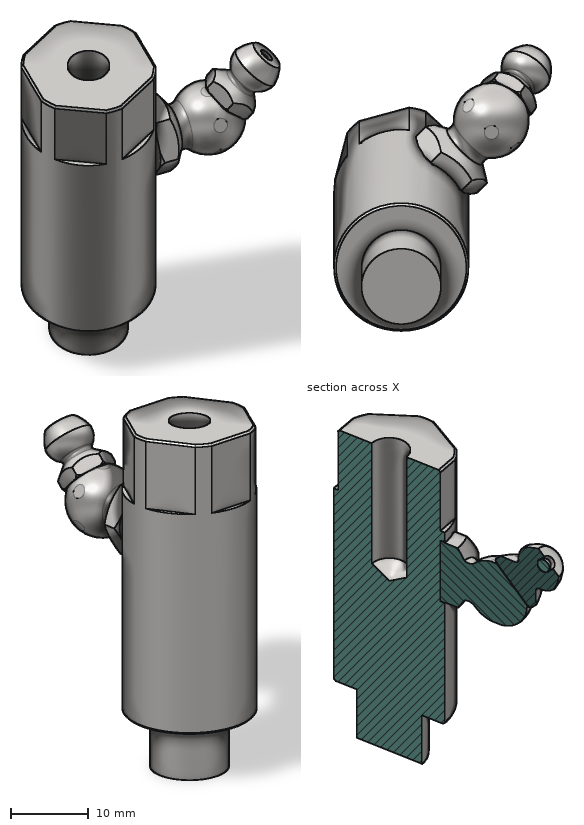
import cadquery as cq
import math

height = 47.6
body_radius = 17.3 / 2
stub_radius = 10.2 / 2
stub_length = 7.65
head_length = 9.52
head_across_flats = 15.95
edge_chamfer = 0.3
bore_diameter = 5.4
bore_depth = 19.05
drill_tip_angle = 118.0

elbow_y = 16.6
elbow_z = 31.7
elbow_across_flats = 9.5
flat_spot_diameter = 1.85
seat_y = head_across_flats / 2
seat_radius = 4.85
collar_start_y = 8.35
collar_cone_y = 10.2
neck_start_y = 11.7
neck_radius = 6.35 / 2
neck_waist_radius = 3.05
neck_end_y = 13.1
ball_radius = math.hypot(elbow_across_flats / 2, flat_spot_diameter / 2)

nipple_tilt = 45.0
nipple_across_flats = 6.75
nipple_base = 3.5
nipple_base_radius = 3.65
base_chamfer_top = 3.8
shoulder_cone_base = 4.9
neck_bottom = 6.4
neck_top = 7.15
nipple_neck_radius = 2.15
nipple_shoulder_radius = 2.35
head_radius = 3.35
head_curve_middle = (3.05, 8.0)
head_widest = 9.3
tip_curve_middle = (2.95, 10.45)
tip_height = 11.52
tip_radius = 2.25

check_ball_diameter = 1.85
check_ball_recess = 0.2


def across_corners(across_flats):
    return across_flats / math.cos(math.radians(30))


def at_nipple(body):
    """Move a body built upright on the origin onto the tilted nipple axis."""
    tilted = body.rotate((0, 0, 0), (1, 0, 0), -nipple_tilt)
    return tilted.translate((0, elbow_y, elbow_z))


def make_elbow():
    neck_end_radius = math.sqrt(ball_radius**2 - (elbow_y - neck_end_y)**2)
    neck_middle_y = (neck_start_y + neck_end_y) / 2
    corner_radius = across_corners(elbow_across_flats) / 2
    turned = (
        cq.Workplane("XY")
        .moveTo(0, seat_y)
        .lineTo(seat_radius, seat_y)
        .lineTo(corner_radius, collar_start_y)
        .lineTo(corner_radius, collar_cone_y)
        .lineTo(neck_radius, neck_start_y)
        .threePointArc((neck_waist_radius, neck_middle_y), (neck_end_radius, neck_end_y))
        .threePointArc((ball_radius, elbow_y), (0, elbow_y + ball_radius))
        .close()
        .revolve(360, (0, 0, 0), (0, 1, 0))
        .translate((0, 0, elbow_z))
    )
    bar = (
        cq.Workplane("XZ", origin=(0, 0, elbow_z))
        .polygon(6, across_corners(elbow_across_flats))
        .extrude(-(elbow_y + 2 * ball_radius))
    )
    seat_cutter = cq.Workplane("XY").workplane(offset=nipple_base).circle(ball_radius).extrude(ball_radius)
    return turned.intersect(bar).cut(at_nipple(seat_cutter))


def make_check_ball():
    radius = check_ball_diameter / 2
    ball = cq.Workplane("XY").sphere(radius).translate((0, 0, tip_height - check_ball_recess - radius))
    return at_nipple(ball)


def make_nipple():
    corner_radius = across_corners(nipple_across_flats) / 2
    neck_middle = (neck_bottom + neck_top) / 2
    turned = (
        cq.Workplane("XZ")
        .moveTo(0, nipple_base)
        .lineTo(nipple_base_radius, nipple_base)
        .lineTo(corner_radius, base_chamfer_top)
        .lineTo(corner_radius, shoulder_cone_base)
        .lineTo(nipple_shoulder_radius, neck_bottom)
        .threePointArc((nipple_neck_radius, neck_middle), (nipple_shoulder_radius, neck_top))
        .threePointArc(head_curve_middle, (head_radius, head_widest))
        .threePointArc(tip_curve_middle, (tip_radius, tip_height))
        .lineTo(0, tip_height)
        .close()
        .revolve(360, (0, 0, 0), (0, 1, 0))
    )
    bar = (
        cq.Workplane("XY")
        .polygon(6, across_corners(nipple_across_flats))
        .extrude(tip_height)
        .rotate((0, 0, 0), (0, 0, 1), 30)
    )
    ball_centre = tip_height - check_ball_recess - check_ball_diameter / 2
    hole = (
        cq.Workplane("XY")
        .workplane(offset=ball_centre)
        .circle(check_ball_diameter / 2)
        .extrude(tip_height - ball_centre)
    )
    return at_nipple(turned.intersect(bar).cut(hole)).cut(make_check_ball())


def make_bore_cutter():
    radius = bore_diameter / 2
    tip_depth = radius / math.tan(math.radians(drill_tip_angle / 2))
    return (
        cq.Workplane("XZ")
        .moveTo(0, height)
        .lineTo(radius, height)
        .lineTo(radius, height - bore_depth)
        .lineTo(0, height - bore_depth - tip_depth)
        .close()
        .revolve(360, (0, 0, 0), (0, 1, 0))
    )


def make_housing(elbow):
    shoulder_z = height - head_length
    stub = cq.Workplane("XY").circle(stub_radius).extrude(stub_length)
    body = (
        cq.Workplane("XY")
        .workplane(offset=stub_length)
        .circle(body_radius)
        .extrude(shoulder_z - stub_length)
        .faces("<Z")
        .chamfer(edge_chamfer)
    )
    head_round = cq.Workplane("XY").workplane(offset=shoulder_z).circle(body_radius).extrude(head_length)
    head = (
        cq.Workplane("XY")
        .workplane(offset=shoulder_z)
        .polygon(6, across_corners(head_across_flats))
        .extrude(head_length)
        .intersect(head_round)
        .faces(">Z")
        .chamfer(edge_chamfer)
    )
    return stub.union(body).union(head).cut(make_bore_cutter()).cut(elbow)


elbow = make_elbow()
housing = make_housing(elbow)
nipple = make_nipple()
check_ball = make_check_ball()

result = cq.Compound.makeCompound(
    [
        housing.solids().val(),
        elbow.solids().val(),
        nipple.solids().val(),
        check_ball.solids().val(),
    ]
)